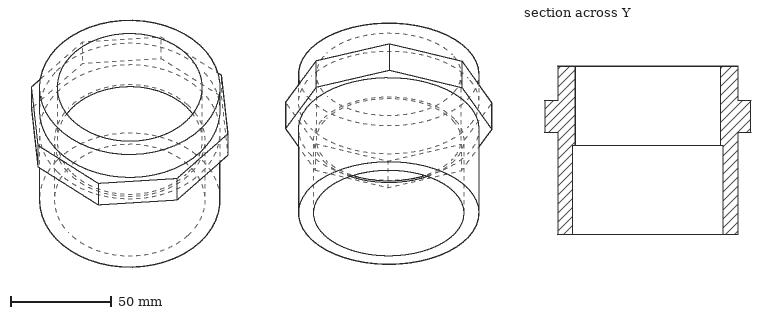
import cadquery as cq

collar_across_corners = 102.8
body_diameter = 90.0
total_height = 84.0

collar_sides = 8
collar_bottom = 50.9
collar_height = 16.0

upper_bore_diameter = 72.2
upper_bore_depth = 39.6
socket_diameter = 75.0
socket_depth = total_height - upper_bore_depth


def cylinder(diameter, bottom, height):
    """Upright cylinder centred on the Z axis."""
    return cq.Workplane("XY").workplane(offset=bottom).circle(diameter / 2).extrude(height)


def wrench_collar():
    """Octagonal prism with corners on the X and Y axes."""
    return (
        cq.Workplane("XY")
        .workplane(offset=collar_bottom)
        .polygon(collar_sides, collar_across_corners)
        .extrude(collar_height)
    )


body = cylinder(body_diameter, 0, total_height).union(wrench_collar())
upper_bore = cylinder(upper_bore_diameter, socket_depth, upper_bore_depth)
socket = cylinder(socket_diameter, 0, socket_depth)

result = body.cut(upper_bore).cut(socket)